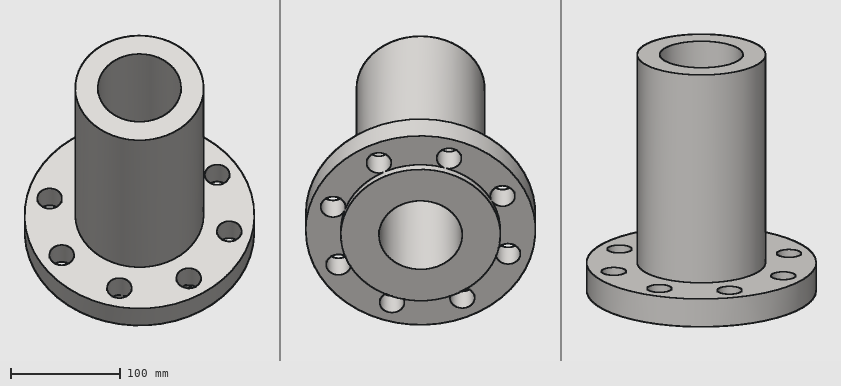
import cadquery as cq

flange_diameter = 210.0
flange_thickness = 27.0

face_diameter = 146.0
face_height = 7.5

total_height = 235.0
neck_diameter = 117.5
bore_diameter = 76.1

bolt_count = 8
bolt_circle_diameter = 168.2
bolt_hole_diameter = 22.5

flange_top = face_height + flange_thickness


def disc(diameter, bottom, top):
    """Solid cylinder about Z between two heights."""
    return cq.Workplane("XY").workplane(offset=bottom).circle(diameter / 2).extrude(top - bottom)


def bolt_holes():
    """Ring of cylinders that cut the bolt holes through the flange, just grazing the raised face."""
    return (
        cq.Workplane("XY")
        .polarArray(bolt_circle_diameter / 2, 0, 360, bolt_count)
        .circle(bolt_hole_diameter / 2)
        .extrude(flange_top)
    )


raised_face = disc(face_diameter, 0, face_height)
flange = disc(flange_diameter, face_height, flange_top)
neck = disc(neck_diameter, flange_top, total_height)
bore = disc(bore_diameter, 0, total_height)

result = raised_face.union(flange).union(neck).cut(bore).cut(bolt_holes())